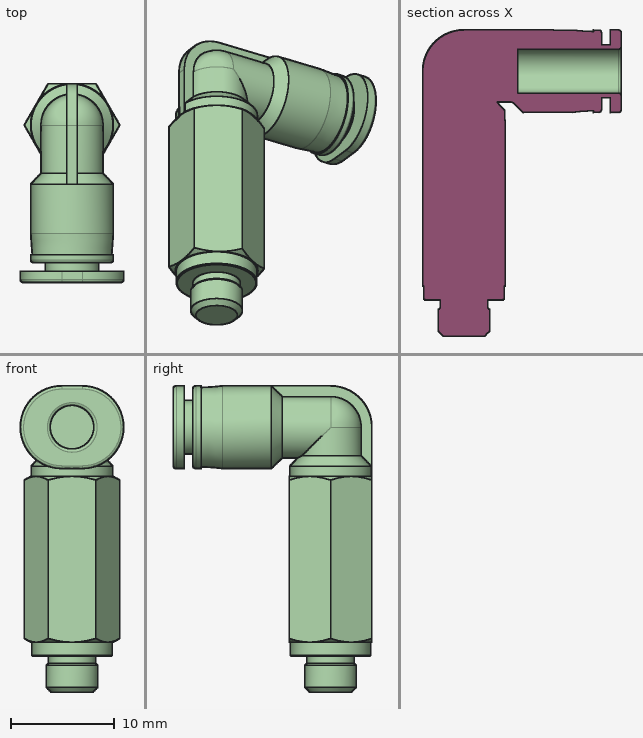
import cadquery as cq
import math


body_radius = 3.0
head_radius = 4.0
shoulder_start = 4.65
shoulder_end = 5.7
rib_thickness = 1.0

grip_start = 10.45
grip_end = 12.5
grip_end_radius = 3.85
head_end = 13.3
head_edge_fillet = 0.3

sleeve_radius = 2.6
flange_start = 14.1
port_end = 15.2
flange_width = 10.0
flange_height = 2 * head_radius
flange_edge_fillet = 0.3
bore_radius = 2.1
bore_depth = 10.0

collar_radius = 3.95
collar_cone_top = -2.75
collar_cone_bottom = -3.75

hex_sides = 6
hex_top = -4.75
hex_length = 16.0
hex_bottom = hex_top - hex_length
hex_across_flats = 8.0
hex_chamfer_angle = 30.0

seal_radius = 3.9
seal_length = 1.35
seal_edge_chamfer = 0.1
seal_bottom = hex_bottom - seal_length
overall_height = 29.6
thread_bottom = head_radius - overall_height
thread_radius = 2.5
thread_length = 2.6
thread_tip_chamfer = 0.5
relief_radius = 2.3
thread_top = thread_bottom + thread_length


def revolve_stem(profile):
    """Turn (radius, z) points about the vertical stem axis."""
    return cq.Workplane("XZ").polyline(profile).close().revolve(360, (0, 0, 0), (0, 1, 0))


def revolve_port(profile):
    """Turn (radius, distance along -Y) points about the tube-port axis."""
    points = [(radius, -distance) for radius, distance in profile]
    return cq.Workplane("XY").polyline(points).close().revolve(360, (0, 0, 0), (0, 1, 0))


def make_elbow_corner():
    return cq.Workplane("XY").sphere(body_radius)


def make_stem_collar():
    return revolve_stem([
        (0, 0),
        (body_radius, 0),
        (body_radius, collar_cone_top),
        (collar_radius, collar_cone_bottom),
        (collar_radius, hex_top),
        (0, hex_top),
    ])


def make_tube_head():
    return revolve_port([
        (0, 0),
        (body_radius, 0),
        (body_radius, shoulder_start),
        (head_radius, shoulder_end),
        (head_radius, grip_start),
        (grip_end_radius, grip_end),
        (sleeve_radius, grip_end),
        (sleeve_radius, flange_start),
        (0, flange_start),
    ])


def make_head_lip():
    """Full-diameter ring that closes the head, rounded at its outer end."""
    return (
        cq.Workplane("XZ", origin=(0, -grip_end, 0))
        .circle(head_radius)
        .extrude(head_end - grip_end)
        .faces("<Y")
        .edges()
        .fillet(head_edge_fillet)
    )


def make_rib():
    """Thin web around the outside of the bend, from the head to the hexagon."""
    arc_middle = head_radius * math.sqrt(0.5)
    return (
        cq.Workplane("YZ")
        .moveTo(0, 0)
        .lineTo(-shoulder_end, 0)
        .lineTo(-shoulder_end, head_radius)
        .lineTo(0, head_radius)
        .threePointArc((arc_middle, arc_middle), (head_radius, 0))
        .lineTo(head_radius, hex_top)
        .lineTo(0, hex_top)
        .close()
        .extrude(rib_thickness / 2, both=True)
    )


def make_release_flange():
    return (
        cq.Workplane("XZ", origin=(0, -flange_start, 0))
        .slot2D(flange_width, flange_height)
        .circle(bore_radius)
        .extrude(port_end - flange_start)
        .faces("<Y")
        .edges()
        .fillet(flange_edge_fillet)
    )


def make_bore():
    return (
        cq.Workplane("XZ", origin=(0, bore_depth - port_end, 0))
        .circle(bore_radius)
        .extrude(bore_depth)
    )


def make_hexagon():
    """Hexagonal bar with its corners turned to a shallow cone at both ends."""
    flat_radius = hex_across_flats / 2
    corner_radius = flat_radius / math.cos(math.pi / hex_sides)
    corner_drop = (corner_radius - flat_radius) * math.tan(math.radians(hex_chamfer_angle))
    bar = (
        cq.Workplane("XY", origin=(0, 0, hex_bottom))
        .polygon(hex_sides, 2 * corner_radius)
        .extrude(hex_length)
    )
    turned_envelope = revolve_stem([
        (0, hex_bottom),
        (flat_radius, hex_bottom),
        (corner_radius, hex_bottom + corner_drop),
        (corner_radius, hex_top - corner_drop),
        (flat_radius, hex_top),
        (0, hex_top),
    ])
    return bar.intersect(turned_envelope)


def make_threaded_end():
    thread_lead_in = thread_radius - relief_radius
    return revolve_stem([
        (0, hex_bottom),
        (seal_radius, hex_bottom),
        (seal_radius, seal_bottom + seal_edge_chamfer),
        (seal_radius - seal_edge_chamfer, seal_bottom),
        (relief_radius, seal_bottom),
        (relief_radius, thread_top + thread_lead_in),
        (thread_radius, thread_top),
        (thread_radius, thread_bottom + thread_tip_chamfer),
        (thread_radius - thread_tip_chamfer, thread_bottom),
        (0, thread_bottom),
    ])


result = (
    make_tube_head()
    .union(make_head_lip())
    .union(make_stem_collar())
    .union(make_elbow_corner())
    .union(make_rib())
    .union(make_release_flange())
    .union(make_hexagon())
    .union(make_threaded_end())
    .cut(make_bore())
)